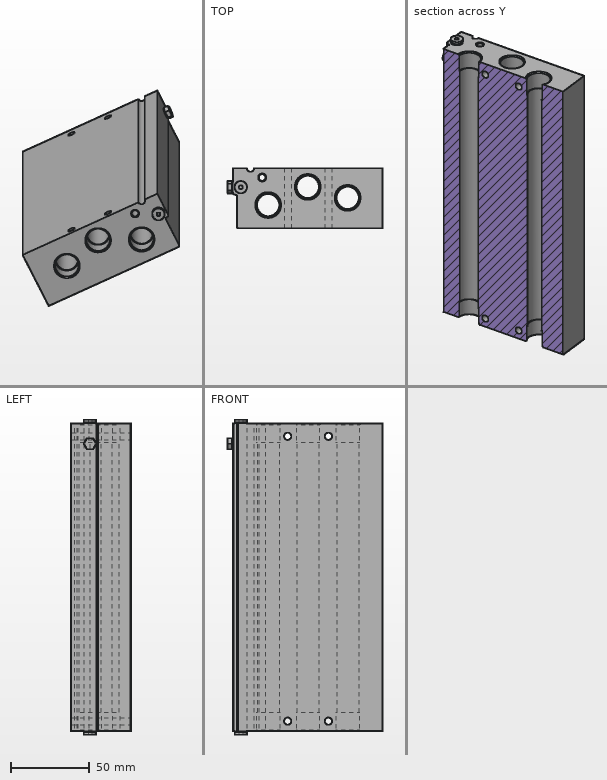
import cadquery as cq
import math

block_width = 93.0
block_depth = 38.5
block_length = 196.5
corner_chamfer_x = 0.8
corner_chamfer_y = 0.5

pad_height = 2.6
pad_width = 16.8
pad_chamfer = 0.5
pad_underside_drop = 0.65

groove_x = 8.6
groove_diameter = 4.5

port_places = [(19.9, 23.6), (45.2, 12.0), (70.7, 19.0)]
port_diameter = 14.15
port_thread_diameter = 14.95
port_thread_depth = 12.0
port_mouth_diameter = 16.6

pilot_place = (16.1, 6.0)
pilot_diameter = 4.2
pilot_mouth_diameter = 5.2

mounting_diameter = 4.5
mounting_first_x = 32.4
mounting_spacing = 26.0
mounting_lower_z = 6.3
mounting_rise = 182.0

fitting_back_distance = 12.2
fitting_y = block_depth - fitting_back_distance

plug_x = 2.45
plug_head_diameter = 8.0
plug_height = 2.5
plug_neck_diameter = 7.8
plug_neck_height = 0.9
plug_socket_diameter = 2.46
plug_socket_depth = 2.0

hex_across_flats = 7.1
hex_face_diameter = 7.0
hex_height = 3.5
hex_neck_diameter = 6.8
hex_neck_height = 0.6
hex_end_distance = 12.95
hex_chamfer_slope = math.radians(10)


def block_profile():
    pad_edge = block_depth - pad_width
    return (
        cq.Workplane("XY")
        .moveTo(corner_chamfer_x, 0)
        .lineTo(block_width, 0)
        .lineTo(block_width, block_depth)
        .lineTo(-pad_height, block_depth)
        .lineTo(-pad_height, pad_edge + pad_chamfer)
        .lineTo(-pad_height + pad_chamfer, pad_edge)
        .lineTo(0, pad_edge - pad_underside_drop)
        .lineTo(0, corner_chamfer_y)
        .close()
        .extrude(block_length)
    )


def across_corners(across_flats):
    return across_flats / math.cos(math.radians(30))


def turned(half_section):
    """Solid of revolution about Z from (radius, height) points."""
    return cq.Workplane("XZ").polyline(half_section).close().revolve(360, (0, 0), (0, 1))


def at_back_distance(shape, place):
    x, back_distance = place
    return shape.translate((x, block_depth - back_distance, 0))


def port_bore():
    """Through bore with a wider thread length and a 45 degree mouth at each end."""
    bore_radius = port_diameter / 2
    thread_radius = port_thread_diameter / 2
    mouth_radius = port_mouth_diameter / 2
    chamfer = mouth_radius - thread_radius
    return turned([
        (0, 0),
        (mouth_radius, 0),
        (thread_radius, chamfer),
        (thread_radius, port_thread_depth),
        (bore_radius, port_thread_depth),
        (bore_radius, block_length - port_thread_depth),
        (thread_radius, block_length - port_thread_depth),
        (thread_radius, block_length - chamfer),
        (mouth_radius, block_length),
        (0, block_length),
    ])


def pilot_bore():
    """Through hole with a 45 degree chamfer at each end."""
    radius = pilot_diameter / 2
    mouth_radius = pilot_mouth_diameter / 2
    chamfer = mouth_radius - radius
    return turned([
        (0, 0),
        (mouth_radius, 0),
        (radius, chamfer),
        (radius, block_length - chamfer),
        (mouth_radius, block_length),
        (0, block_length),
    ])


def make_block():
    block = block_profile()
    groove = cq.Workplane("XY").center(groove_x, block_depth).circle(groove_diameter / 2).extrude(block_length)
    block = block.cut(groove)
    for place in port_places:
        block = block.cut(at_back_distance(port_bore(), place))
    block = block.cut(at_back_distance(pilot_bore(), pilot_place))
    mounting_points = [
        (x, z)
        for x in (mounting_first_x, mounting_first_x + mounting_spacing)
        for z in (mounting_lower_z, mounting_lower_z + mounting_rise)
    ]
    mounting_holes = (
        cq.Workplane("XZ").pushPoints(mounting_points).circle(mounting_diameter / 2).extrude(-block_depth)
    )
    return block.cut(mounting_holes)


def make_end_plug(end_z, direction):
    """Plug standing on an end face; direction is +1 at the upper end and -1 at the lower."""
    plug = (
        cq.Workplane("XY")
        .circle(plug_neck_diameter / 2)
        .extrude(plug_neck_height)
        .faces(">Z")
        .workplane()
        .circle(plug_head_diameter / 2)
        .extrude(plug_height - plug_neck_height)
        .faces(">Z")
        .workplane()
        .circle(plug_socket_diameter / 2)
        .cutBlind(-plug_socket_depth)
    )
    if direction < 0:
        plug = plug.mirror("XY")
    return plug.translate((plug_x, fitting_y, end_z))


def make_hex_plug():
    """Hex head, its outer corners cut by a cone, facing -X."""
    face_radius = hex_face_diameter / 2
    corner_radius = across_corners(hex_across_flats) / 2
    corner_cut = (corner_radius - face_radius) * math.tan(hex_chamfer_slope)
    head = (
        cq.Workplane("XY")
        .workplane(offset=hex_neck_height)
        .polygon(6, 2 * corner_radius)
        .extrude(hex_height - hex_neck_height)
    )
    corner_envelope = turned([
        (0, 0),
        (corner_radius, 0),
        (corner_radius, hex_height - corner_cut),
        (face_radius, hex_height),
        (0, hex_height),
    ])
    neck = cq.Workplane("XY").circle(hex_neck_diameter / 2).extrude(hex_neck_height)
    plug = head.intersect(corner_envelope).union(neck)
    plug = plug.rotate((0, 0, 0), (0, 0, 1), 90).rotate((0, 0, 0), (0, 1, 0), -90)
    return plug.translate((-pad_height, fitting_y, block_length - hex_end_distance))


block = make_block()
hex_plug = make_hex_plug()
end_plugs = [make_end_plug(z, direction) for z, direction in ((block_length, 1), (0, -1))]

result = cq.Compound.makeCompound([block.val(), hex_plug.val(), *[plug.val() for plug in end_plugs]])